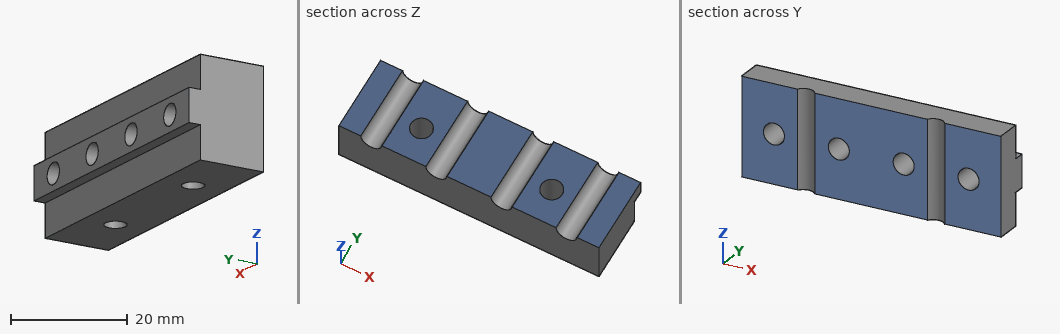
import cadquery as cq

length = 50.8
body_depth = 12.7
height = 19.05

tongue_depth = 2.25
tongue_height = height / 3

hole_diameter = 4.0
cross_hole_count = 4
vertical_hole_count = 2


def evenly_spaced(count):
    """X positions centred in equal divisions of the block length."""
    pitch = length / count
    return [(i + 0.5) * pitch - length / 2 for i in range(count)]


def make_body():
    """Block with its front face at Y = 0, plus the tongue behind it."""
    block = cq.Workplane("XY").box(length, body_depth, height, centered=(True, False, True))
    tongue = (
        cq.Workplane("XY")
        .box(length, tongue_depth, tongue_height, centered=(True, False, True))
        .translate((0, body_depth, 0))
    )
    return block.union(tongue)


def cross_holes():
    """Row of holes along Y, through the block and the tongue."""
    return (
        cq.Workplane("XZ")
        .pushPoints([(x, 0) for x in evenly_spaced(cross_hole_count)])
        .circle(hole_diameter / 2)
        .extrude(-(body_depth + tongue_depth))
    )


def vertical_holes():
    """Holes along Z, midway through the depth of the block."""
    return (
        cq.Workplane("XY")
        .workplane(offset=-height / 2)
        .pushPoints([(x, body_depth / 2) for x in evenly_spaced(vertical_hole_count)])
        .circle(hole_diameter / 2)
        .extrude(height)
    )


result = make_body().cut(cross_holes()).cut(vertical_holes())